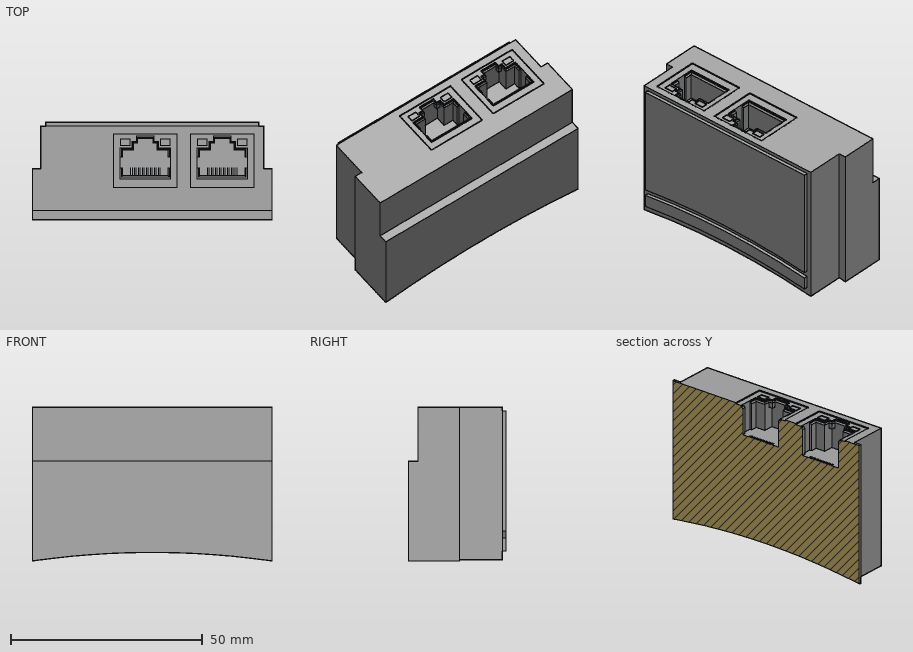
import cadquery as cq

width = 62.5
depth = 25.5
height = 40.1

front_lip_depth = 2.5
front_lip_drop = 14.05
side_step = 2.1
side_step_y = 13.4
saddle_rise = 2.25

plate_thickness = 1.0
plate_half_width = 27.8
plate_top_gap = 1.0
groove_top_drop = 32.3
groove_bottom_drop = 34.05
strip_bottom_drop = 37.55

socket_xs = (-1.8, 18.25)
socket_y = 15.5
recess_width = 16.5
recess_length = 13.95
recess_depth = 0.3

mouth_sizes = (6.55, 3.45, 2.3, -4.75, 3.3, 4.95, 6.4)
throat_sizes = (5.95, 3.05, 2.0, -3.95, 2.75, 4.55, 5.7)
mouth_depth = 0.3
lead_in_depth = 0.45
latch_depth = 2.25
cavity_depth = 8.25
side_window_bottom = -1.95
side_window_top = 0.9

contact_count = 8
contact_span = 7.2
contact_width = 0.405
contact_length = 1.95
contact_rise = 0.5

lamp_offset_x = 5.25
lamp_offset_y = 4.8
lamp_width = 2.5
lamp_length = 1.7
lamp_depth = 0.2

back_y = depth - plate_thickness
saddle_radius = ((width / 2) ** 2 + saddle_rise ** 2) / (2 * saddle_rise)
socket_face_z = height - recess_depth


def box(x0, x1, y0, y1, z0, z1):
    """Axis-aligned box between two corners."""
    return cq.Workplane("XY").box(x1 - x0, y1 - y0, z1 - z0, centered=False).translate((x0, y0, z0))


def arc_rise(half_width):
    """Rise of the saddle curve from its ends at +-half_width to the middle."""
    return saddle_radius - (saddle_radius ** 2 - half_width ** 2) ** 0.5


def housing():
    """Stepped block with a curved underside."""
    half = width / 2
    body = (
        cq.Workplane("XZ")
        .moveTo(-half, 0)
        .threePointArc((0, saddle_rise), (half, 0))
        .lineTo(half, height)
        .lineTo(-half, height)
        .close()
        .extrude(-back_y)
    )
    body = body.cut(box(-half, half, 0, front_lip_depth, height - front_lip_drop, height))
    for x0, x1 in ((-half, side_step - half), (half - side_step, half)):
        body = body.cut(box(x0, x1, side_step_y, back_y, 0, height))
    return body


def rear_plate_piece(bottom_drop, top_drop, curved_top):
    """Piece of the rear plate with a curved lower edge."""
    half = plate_half_width
    rise = arc_rise(half)
    bottom = height - bottom_drop
    top = height - top_drop
    outline = (
        cq.Workplane("XZ", origin=(0, back_y, 0))
        .moveTo(-half, bottom)
        .threePointArc((0, bottom + rise), (half, bottom))
        .lineTo(half, top)
    )
    if curved_top:
        outline = outline.threePointArc((0, top + rise), (-half, top))
    else:
        outline = outline.lineTo(-half, top)
    return outline.close().extrude(-plate_thickness)


def opening_points(sizes):
    """Outline of a socket opening: wide body, narrower shoulder, latch tab."""
    body_half, shoulder_half, tab_half, bottom, body_top, shoulder_top, tab_top = sizes
    right = [
        (body_half, bottom),
        (body_half, body_top),
        (shoulder_half, body_top),
        (shoulder_half, shoulder_top),
        (tab_half, shoulder_top),
        (tab_half, tab_top),
    ]
    left = [(-x, y) for x, y in reversed(right)]
    return right + left


def contacts(floor_z):
    """Row of wedges rising from the cavity floor toward the bottom wall."""
    wall_y = throat_sizes[3]
    row = cq.Workplane("XY")
    for i in range(contact_count):
        x = contact_span * (i / (contact_count - 1) - 0.5)
        wedge = (
            cq.Workplane("YZ", origin=(x - contact_width / 2, 0, 0))
            .polyline([(wall_y, floor_z), (wall_y + contact_length, floor_z), (wall_y, floor_z + contact_rise)])
            .close()
            .extrude(contact_width)
        )
        row = row.add(wedge)
    return row.combine()


def socket():
    """Space removed for one socket, centred on X = Y = 0 with its face on Z = 0."""
    body_half, shoulder_half = throat_sizes[:2]
    bottom, body_top = throat_sizes[3:5]
    tab_top = throat_sizes[6]
    lead_in_sizes = [(m + t) / 2 for m, t in zip(mouth_sizes, throat_sizes)]
    lead_in_end = mouth_depth + lead_in_depth

    space = box(
        -recess_width / 2, recess_width / 2, -recess_length / 2, recess_length / 2, 0, recess_depth
    )
    mouth = cq.Workplane("XY").polyline(opening_points(mouth_sizes)).close().extrude(-mouth_depth)
    lead_in = (
        cq.Workplane("XY", origin=(0, 0, -mouth_depth))
        .polyline(opening_points(lead_in_sizes))
        .close()
        .workplane(offset=-lead_in_depth)
        .polyline(opening_points(throat_sizes))
        .close()
        .loft(ruled=True)
    )
    throat = (
        cq.Workplane("XY", origin=(0, 0, -lead_in_end))
        .polyline(opening_points(throat_sizes))
        .close()
        .extrude(lead_in_end - latch_depth)
    )
    cavity = box(-body_half, body_half, bottom, body_top, -cavity_depth, -lead_in_end)
    upper_cavity = box(-shoulder_half, shoulder_half, body_top, tab_top, -cavity_depth, -latch_depth)
    window_half = mouth_sizes[0]
    windows = box(
        -window_half, window_half, side_window_bottom, side_window_top, -cavity_depth, 0
    )
    for piece in (mouth, lead_in, throat, cavity, upper_cavity, windows):
        space = space.union(piece)
    for side in (-1, 1):
        lamp = cq.Workplane("XY").box(lamp_width, lamp_length, lamp_depth, centered=(True, True, False))
        space = space.union(lamp.translate((side * lamp_offset_x, lamp_offset_y, -lamp_depth)))
    return space.cut(contacts(-cavity_depth))


result = (
    housing()
    .union(rear_plate_piece(groove_top_drop, plate_top_gap, curved_top=False))
    .union(rear_plate_piece(strip_bottom_drop, groove_bottom_drop, curved_top=True))
)
for socket_x in socket_xs:
    result = result.cut(socket().translate((socket_x, socket_y, socket_face_z)))